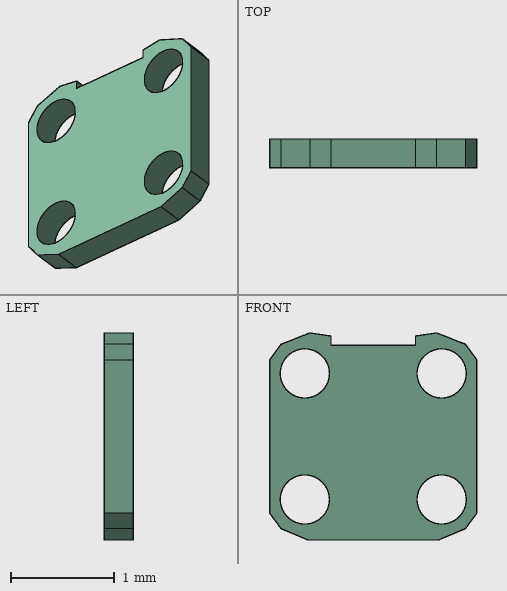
import cadquery as cq

side = 2.0
thickness = 0.28
half = side / 2

bottom_end_x = 0.63
peak_x = 0.612
flat_end_z = 0.74
diagonal_point = 0.89

notch_half_width = 0.405
notch_floor_z = 0.882
notch_rim_z = 0.97

hole_diameter = 0.472
hole_x = 0.66
hole_z = 0.608

right_half = [
    (bottom_end_x, -half),
    (diagonal_point, -diagonal_point),
    (half, -flat_end_z),
    (half, flat_end_z),
    (diagonal_point, diagonal_point),
    (peak_x, half),
    (notch_half_width, notch_rim_z),
    (notch_half_width, notch_floor_z),
]
left_half = [(-x, z) for x, z in reversed(right_half)]

plate = (
    cq.Workplane("XZ", origin=(0, thickness / 2, 0))
    .polyline(right_half + left_half)
    .close()
    .extrude(thickness)
)

holes = (
    cq.Workplane("XZ", origin=(0, thickness / 2, 0))
    .rect(2 * hole_x, 2 * hole_z, forConstruction=True)
    .vertices()
    .circle(hole_diameter / 2)
    .extrude(thickness)
)

result = plate.cut(holes)